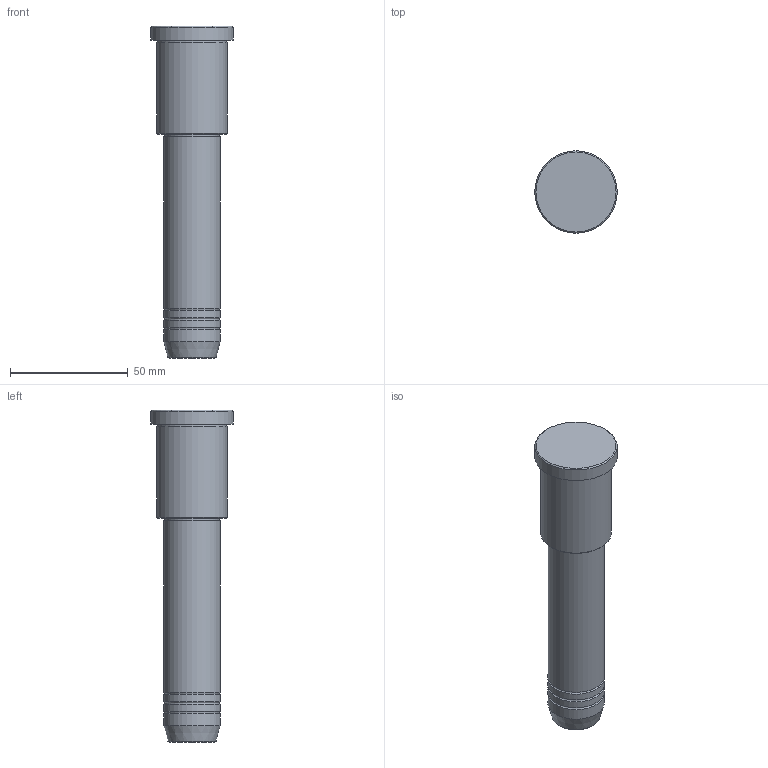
import cadquery as cq
import math

head_diameter = 35.0
head_height = 6.0
head_chamfer = 0.5

collar_diameter = 30.0
collar_length = 40.0
collar_chamfer = 0.5

shank_diameter = 24.0
shank_length = 95.0

lead_in_length = 7.0
lead_in_angle = 15.0
tip_fillet = 0.5

relief_width = 1.0
relief_depth = 0.5

groove_radius = 0.5
groove_count = 3
groove_pitch = 4.0
first_groove_height = 12.5

head_radius = head_diameter / 2
collar_radius = collar_diameter / 2
shank_radius = shank_diameter / 2
tip_radius = shank_radius - lead_in_length * math.tan(math.radians(lead_in_angle))

collar_bottom = shank_length
head_bottom = collar_bottom + collar_length
head_top = head_bottom + head_height


def add_groove(profile, radius, height):
    """Add a half-round groove centred at the given height."""
    groove_bottom = (radius - groove_radius, height)
    groove_end = (radius, height + groove_radius)
    return profile.lineTo(radius, height - groove_radius).threePointArc(groove_bottom, groove_end)


def add_shank(profile):
    """Add the tapered lead-in, the grooved shank and the undercut below the collar."""
    profile = profile.lineTo(tip_radius, 0).lineTo(shank_radius, lead_in_length)
    for index in range(groove_count):
        profile = add_groove(profile, shank_radius, first_groove_height + index * groove_pitch)
    return (
        profile.lineTo(shank_radius, collar_bottom - relief_width)
        .lineTo(shank_radius - relief_depth, collar_bottom - relief_width)
        .lineTo(shank_radius - relief_depth, collar_bottom)
    )


def add_collar(profile):
    """Add the collar, chamfered at its lower end and grooved right below the head."""
    profile = profile.lineTo(collar_radius - collar_chamfer, collar_bottom)
    profile = profile.lineTo(collar_radius, collar_bottom + collar_chamfer)
    return add_groove(profile, collar_radius, head_bottom - groove_radius)


def add_head(profile):
    """Add the head, chamfered at its top edge, and end on the axis."""
    return (
        profile.lineTo(head_radius, head_bottom)
        .lineTo(head_radius, head_top - head_chamfer)
        .lineTo(head_radius - head_chamfer, head_top)
        .lineTo(0, head_top)
    )


half_profile = add_head(add_collar(add_shank(cq.Workplane("XZ").moveTo(0, 0))))
pin = half_profile.close().revolve(360, (0, 0, 0), (0, 1, 0))

result = pin.faces("<Z").edges().fillet(tip_fillet)